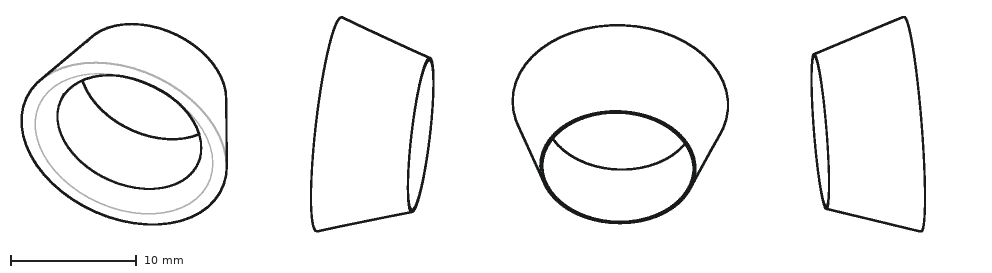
import cadquery as cq
import math

outer_diameter = 17.12
back_diameter = 12.33
length = 7.4
bore_diameter = 11.98
mouth_diameter = 14.8
edge_fillet = 0.05

outer_radius = outer_diameter / 2
back_radius = back_diameter / 2
bore_radius = bore_diameter / 2
mouth_radius = mouth_diameter / 2
mouth_depth = mouth_radius - bore_radius

taper_angle = math.atan((outer_radius - back_radius) / length)
corner_angle = math.pi / 2 - taper_angle
rim_overhang = edge_fillet / math.tan(corner_angle / 2) - edge_fillet
rim_radius = outer_radius + rim_overhang

section = (
    cq.Workplane("XY")
    .moveTo(mouth_radius, 0)
    .lineTo(rim_radius, 0)
    .lineTo(back_radius, length)
    .lineTo(bore_radius, length)
    .lineTo(bore_radius, mouth_depth)
    .close()
)

ring = section.revolve(360, (0, 0, 0), (0, 1, 0))

result = ring.faces("<Y").edges().fillet(edge_fillet)